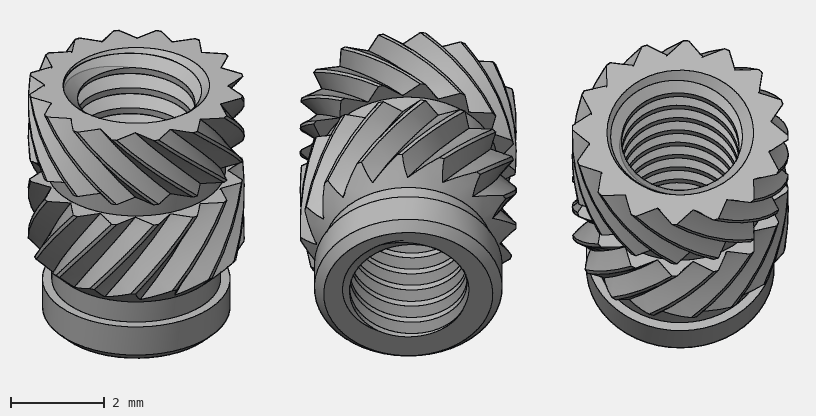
import cadquery as cq
import math

knurl_radius = 2.3
upper_neck_radius = 1.9
lower_neck_radius = 1.8
flange_radius = 2.0
flange_chamfer = 0.2
flange_top = 0.9
lower_knurl_bottom = 1.4
lower_knurl_top = 3.6
upper_knurl_bottom = 4.1
total_height = 5.7

tooth_count = 16
notch_root_radius = 1.95
land_angle = 2.7
tooth_pitch_angle = 360 / tooth_count
knurl_twist = 2 * tooth_pitch_angle

bore_radius = 1.25
thread_pitch = 0.5
thread_depth = 0.305
thread_half_angle = 30
thread_phase = 0.37
countersink_radius = 1.56
countersink_depth = countersink_radius - bore_radius


def polar(radius, degrees):
    angle = math.radians(degrees)
    return (radius * math.cos(angle), radius * math.sin(angle))


def cylinder(radius, bottom, top):
    return cq.Workplane("XY").workplane(offset=bottom).circle(radius).extrude(top - bottom)


def knurled_band(bottom, top, twist):
    """Toothed band with notches on the X axis at both ends."""
    outline = cq.Workplane("XY").workplane(offset=bottom).moveTo(notch_root_radius, 0)
    for tooth in range(tooth_count):
        notch_angle = tooth * tooth_pitch_angle
        land_middle = notch_angle + tooth_pitch_angle / 2
        outline = (
            outline
            .lineTo(*polar(knurl_radius, land_middle - land_angle / 2))
            .threePointArc(
                polar(knurl_radius, land_middle),
                polar(knurl_radius, land_middle + land_angle / 2),
            )
        )
        if tooth < tooth_count - 1:
            outline = outline.lineTo(*polar(notch_root_radius, notch_angle + tooth_pitch_angle))
    return outline.close().twistExtrude(top - bottom, twist)


def flange():
    """Pilot flange with a chamfered bottom edge."""
    return cylinder(flange_radius, 0, flange_top).faces("<Z").chamfer(flange_chamfer)


def lower_knurl():
    """Knurled band whose lower edge tapers at 45 degrees down to the neck."""
    clearance = 0.1
    tool_radius = knurl_radius + clearance
    tool_bottom = lower_knurl_bottom - clearance
    tool_height = tool_radius - lower_neck_radius + clearance
    taper = (
        cq.Workplane("XZ")
        .moveTo(lower_neck_radius - clearance, tool_bottom)
        .lineTo(tool_radius, tool_bottom + tool_height)
        .lineTo(tool_radius, tool_bottom)
        .close()
        .revolve(360, (0, 0), (0, 1))
    )
    return knurled_band(lower_knurl_bottom, lower_knurl_top, knurl_twist).cut(taper)


def upper_knurl():
    return knurled_band(upper_knurl_bottom, total_height, -knurl_twist)


def countersink():
    return (
        cq.Workplane("XZ")
        .moveTo(0, total_height)
        .lineTo(countersink_radius, total_height)
        .lineTo(bore_radius, total_height - countersink_depth)
        .lineTo(0, total_height - countersink_depth)
        .close()
        .revolve(360, (0, 0), (0, 1))
    )


def threaded_bore():
    """Bore core with a helical V ridge, running past both ends of the part."""
    start = thread_phase - 2 * thread_pitch
    length = total_height + 3 * thread_pitch
    overlap = 0.05
    half_mouth = (thread_depth + overlap) * math.tan(math.radians(thread_half_angle))
    path = cq.Wire.makeHelix(thread_pitch, length, bore_radius, cq.Vector(0, 0, start))
    ridge = (
        cq.Workplane("XZ")
        .moveTo(bore_radius - overlap, start - half_mouth)
        .lineTo(bore_radius + thread_depth, start)
        .lineTo(bore_radius - overlap, start + half_mouth)
        .close()
        .sweep(cq.Workplane(path), isFrenet=True)
    )
    core = cylinder(bore_radius, start - thread_pitch, start + length + thread_pitch)
    return core.union(ridge)


body = (
    flange()
    .union(cylinder(lower_neck_radius, flange_top, lower_knurl_bottom))
    .union(lower_knurl())
    .union(cylinder(upper_neck_radius, lower_knurl_top, upper_knurl_bottom))
    .union(upper_knurl())
)
result = body.cut(threaded_bore()).cut(countersink())